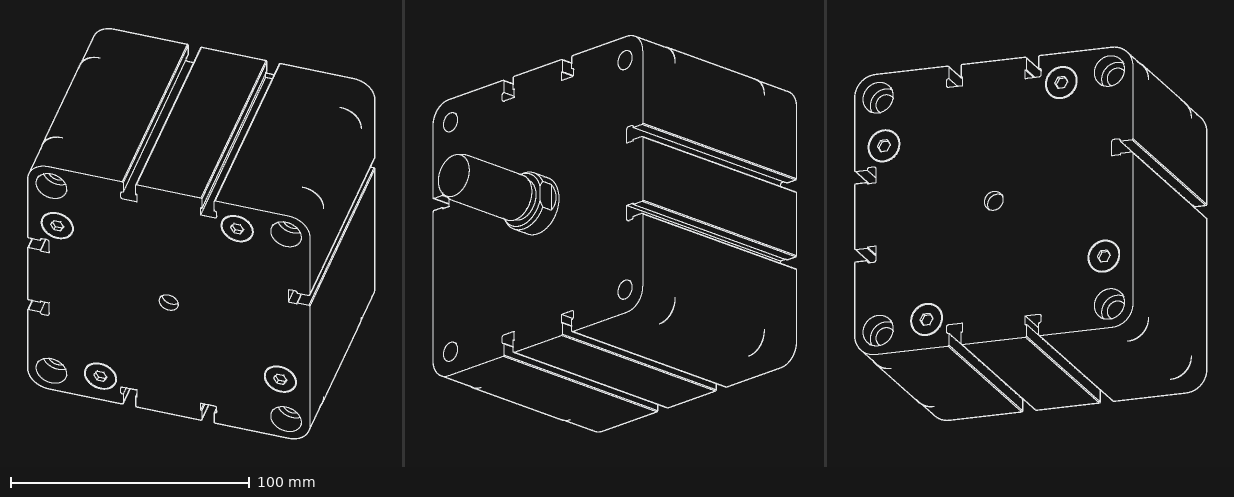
import cadquery as cq
import math

total_length = 141.5
body_size = 124.0
body_length = 91.5
cap_length = 19.2
cap_corner_radius = 9.3
barrel_corner_radius = 8.8

rear_y = -total_length / 2
front_y = rear_y + body_length
rod_tip_y = total_length / 2
half_size = body_size / 2

slot_inner = 14.6
slot_outer = 20.0
slot_head_inner = 14.0
slot_head_outer = 21.1
slot_neck_depth = 5.7
slot_depth = 9.5
slot_mouth_chamfer = 0.4
slot_head_fillet = 1.0

mount_offset = 51.5
mount_diameter = 8.3
mount_bore_diameter = 13.5
mount_bore_depth = 9.0

screw_offset_long = 49.0
screw_offset_short = 30.0
screw_head_diameter = 13.5
screw_seat_diameter = 14.0
screw_gap_depth = 0.7
socket_across_flats = 5.0
socket_depth = 2.0

center_hole_diameter = 8.3
center_hole_depth = 4.0

collar_diameter = 25.0
collar_length = 9.9
collar_chamfer_length = 1.7
collar_chamfer_depth = 1.0
flat_width = 22.2
flat_start = 3.1
neck_diameter = 17.5
thread_start = 13.6
thread_diameter = 20.0
thread_runout = 0.5
tip_diameter = 18.3
tip_chamfer_length = 3.4


def cross_section(y):
    """Workplane across the axis at y: sketch x is X and sketch y is Z; depths run toward +Y."""
    return cq.Workplane(cq.Plane(origin=(0, y, 0), xDir=(1, 0, 0), normal=(0, -1, 0)))


def body_section(start_y, length, corner_radius):
    block = cross_section(start_y).rect(body_size, body_size).extrude(-length)
    return block.edges("|Y").fillet(corner_radius)


def make_body():
    """Barrel between two end caps whose corners are rounded slightly more."""
    barrel_length = body_length - 2 * cap_length
    rear_cap = body_section(rear_y, cap_length, cap_corner_radius)
    barrel = body_section(rear_y + cap_length, barrel_length, barrel_corner_radius)
    front_cap = body_section(front_y - cap_length, cap_length, cap_corner_radius)
    return rear_cap.union(barrel).union(front_cap)


def slot_cutter():
    """Sensor slot in the top face on the +X side, along the whole body."""
    mouth_z = half_size
    neck_z = half_size - slot_neck_depth
    floor_z = half_size - slot_depth
    chamfer_z = mouth_z - slot_mouth_chamfer
    slot = (
        cross_section(rear_y)
        .moveTo(slot_inner - slot_mouth_chamfer, mouth_z)
        .lineTo(slot_inner, chamfer_z)
        .lineTo(slot_inner, neck_z)
        .lineTo(slot_head_inner, neck_z)
        .lineTo(slot_head_inner, floor_z)
        .lineTo(slot_head_outer, floor_z)
        .lineTo(slot_head_outer, neck_z)
        .lineTo(slot_outer, neck_z)
        .lineTo(slot_outer, chamfer_z)
        .lineTo(slot_outer + slot_mouth_chamfer, mouth_z)
        .close()
        .extrude(-body_length)
    )
    return slot.faces(">X").edges("|Y").fillet(slot_head_fillet)


def cut_slots(part):
    """Two slots on the top, bottom and -X faces, one on the +X face."""
    right_hand_slot = slot_cutter()
    left_hand_slot = right_hand_slot.mirror("YZ")
    for slot, turns in (
        (right_hand_slot, (0, 180, 270)),
        (left_hand_slot, (0, 90, 180, 270)),
    ):
        for turn in turns:
            part = part.cut(slot.rotate((0, 0, 0), (0, 1, 0), turn))
    return part


def cut_mounting_holes(part):
    """A through hole near each corner, counterbored from the rear face."""
    pitch = 2 * mount_offset
    corners = cross_section(rear_y).rect(pitch, pitch, forConstruction=True).vertices()
    through_holes = corners.circle(mount_diameter / 2).extrude(-body_length)
    bores = corners.circle(mount_bore_diameter / 2).extrude(-mount_bore_depth)
    return part.cut(through_holes).cut(bores)


def cut_screws(part):
    """Four socket-head screws flush with the rear face, each set off by a narrow ring gap."""
    centers = [
        (screw_offset_short, screw_offset_long),
        (screw_offset_long, -screw_offset_short),
        (-screw_offset_short, -screw_offset_long),
        (-screw_offset_long, screw_offset_short),
    ]
    seats = cross_section(rear_y).pushPoints(centers)
    gaps = seats.circle(screw_seat_diameter / 2).circle(screw_head_diameter / 2).extrude(-screw_gap_depth)
    socket_diameter = socket_across_flats / math.cos(math.pi / 6)
    sockets = cross_section(rear_y).pushPoints(centers).polygon(6, socket_diameter).extrude(-socket_depth)
    return part.cut(gaps).cut(sockets)


def cut_center_hole(part):
    hole = cross_section(rear_y).circle(center_hole_diameter / 2).extrude(-center_hole_depth)
    return part.cut(hole)


def make_rod():
    """Turned rod end: collar with two wrench flats, undercut neck and plain threaded-end cylinder."""
    collar_end = front_y + collar_length
    thread_y = front_y + thread_start
    collar_radius = collar_diameter / 2
    neck_radius = neck_diameter / 2
    thread_radius = thread_diameter / 2
    rod = (
        cq.Workplane("XY")
        .moveTo(0, front_y)
        .lineTo(collar_radius, front_y)
        .lineTo(collar_radius, collar_end - collar_chamfer_length)
        .lineTo(collar_radius - collar_chamfer_depth, collar_end)
        .lineTo(neck_radius, collar_end)
        .lineTo(neck_radius, thread_y - thread_runout)
        .lineTo(thread_radius, thread_y)
        .lineTo(thread_radius, rod_tip_y - tip_chamfer_length)
        .lineTo(tip_diameter / 2, rod_tip_y)
        .lineTo(0, rod_tip_y)
        .close()
        .revolve(360, (0, 0, 0), (0, 1, 0))
    )
    flat_depth = collar_radius - flat_width / 2
    flat_y = front_y + flat_start
    flat = (
        cq.Workplane("XY")
        .moveTo(collar_radius, flat_y - flat_depth)
        .lineTo(flat_width / 2, flat_y)
        .lineTo(flat_width / 2, collar_end)
        .lineTo(collar_radius, collar_end)
        .close()
        .extrude(collar_radius, both=True)
    )
    return rod.cut(flat).cut(flat.mirror("YZ"))


body = cut_slots(make_body())
body = cut_mounting_holes(body)
body = cut_screws(body)
body = cut_center_hole(body)
result = body.union(make_rod())